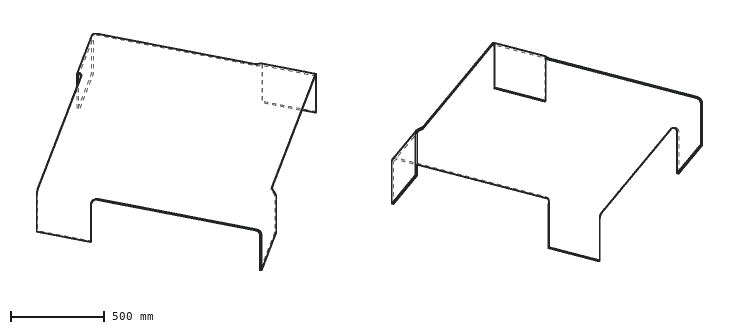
import cadquery as cq
import math

overall_width = 1270.0
overall_height = 304.0
sheet_thickness = 10.0
bend_outer_radius = 33.0
leg_width = 300.0
corner_fillet_radius = 37.0
leg_count = 4
fillet_tilt = 32.0

bend_inner_radius = bend_outer_radius - sheet_thickness
top_half_width = overall_width / 2 - bend_outer_radius
straight_leg_height = overall_height - bend_outer_radius
leg_end_x = -top_half_width + leg_width


def make_top_plate():
    """Square tabletop with its upper face at the full height."""
    side = 2 * top_half_width
    return (
        cq.Workplane("XY")
        .workplane(offset=overall_height - sheet_thickness)
        .rect(side, side)
        .extrude(sheet_thickness)
    )


def make_bent_strip(width):
    """Sheet strip that bends down from the -Y edge of the top, starting at its -X corner."""
    outer_y = -top_half_width - bend_outer_radius
    inner_y = outer_y + sheet_thickness
    return (
        cq.Workplane("YZ", origin=(-top_half_width, 0, 0))
        .moveTo(-top_half_width, overall_height)
        .radiusArc((outer_y, straight_leg_height), -bend_outer_radius)
        .lineTo(outer_y, 0)
        .lineTo(inner_y, 0)
        .lineTo(inner_y, straight_leg_height)
        .radiusArc((-top_half_width, overall_height - sheet_thickness), bend_inner_radius)
        .close()
        .extrude(width)
    )


def make_bend_trim():
    """Cutter that trims the wide strip to the leg width, leaving a concave fillet at the top."""
    fillet_start = bend_outer_radius * math.sin(math.radians(fillet_tilt))
    fillet_end = fillet_start - corner_fillet_radius
    outer_x = 2 * corner_fillet_radius
    bend_axis = (leg_end_x, -top_half_width, straight_leg_height)
    return (
        cq.Workplane("XY", origin=bend_axis)
        .transformed(rotate=(fillet_tilt, 0, 0))
        .moveTo(corner_fillet_radius, fillet_start)
        .radiusArc((0, fillet_end), -corner_fillet_radius)
        .lineTo(0, -bend_outer_radius)
        .lineTo(outer_x, -bend_outer_radius)
        .lineTo(outer_x, fillet_start)
        .close()
        .extrude(2 * bend_outer_radius)
    )


def make_lower_trim():
    """Box that trims the wide strip to the leg width below the bend."""
    return cq.Workplane("XY").box(
        2 * corner_fillet_radius,
        2 * bend_outer_radius,
        straight_leg_height,
        centered=(False, True, False),
    ).translate((leg_end_x, -top_half_width - bend_outer_radius, 0))


wide_strip = make_bent_strip(leg_width + corner_fillet_radius)
leg = wide_strip.cut(make_bend_trim()).cut(make_lower_trim())

result = make_top_plate()
for index in range(leg_count):
    angle = index * 360 / leg_count
    result = result.union(leg.rotate((0, 0, 0), (0, 0, 1), angle))